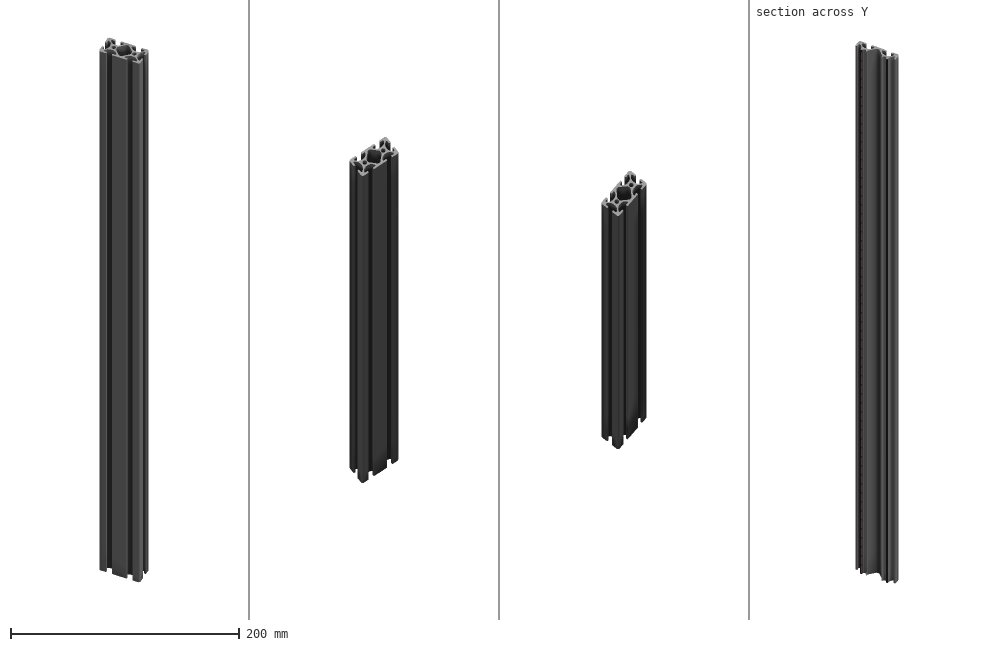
import cadquery as cq
WIDTH = 39.98
DEPTH = 19.99
LENGTH = 609.6
CORNER_RADIUS = 1.93

CELL = WIDTH / 2

SLOT_OPENING = 5.26
LIP_THICKNESS = 1.81
LIP_EDGE_RADIUS = 0.65
CAVITY_WIDTH = 11.72
CAVITY_FLOOR_WIDTH = 7.35
SLOT_DEPTH = 5.5
WALL_STRAIGHT_DEPTH = SLOT_DEPTH - (CAVITY_WIDTH - CAVITY_FLOOR_WIDTH) / 2

FLOOR_GROOVE_DEPTH = 0.77
FLOOR_GROOVE_FLAT = 2.62

BORE_DIAMETER = 3.97
CHANNEL_HALF_HEIGHT = 7.72
CHANNEL_HALF_WIDTH = 7.34
CHANNEL_TIP_WIDTH = 2.27


def make_bar():
    bar = cq.Workplane("XY").rect(WIDTH, DEPTH).extrude(LENGTH)
    return bar.edges("|Z").fillet(CORNER_RADIUS)


def make_slot(x, y, angle):
    """Cutter for a T-slot whose opening is centred at (x, y); at angle 0 it opens toward +Y."""
    half_opening = SLOT_OPENING / 2
    half_mouth = half_opening + LIP_EDGE_RADIUS
    half_cavity = CAVITY_WIDTH / 2
    half_floor = CAVITY_FLOOR_WIDTH / 2
    half_groove = FLOOR_GROOVE_FLAT / 2
    groove_bottom = -SLOT_DEPTH - FLOOR_GROOVE_DEPTH
    cutter = (
        cq.Workplane("XY")
        .moveTo(half_mouth, 0)
        .radiusArc((half_opening, -LIP_EDGE_RADIUS), -LIP_EDGE_RADIUS)
        .lineTo(half_opening, -LIP_THICKNESS)
        .lineTo(half_cavity, -LIP_THICKNESS)
        .lineTo(half_cavity, -WALL_STRAIGHT_DEPTH)
        .lineTo(half_floor, -SLOT_DEPTH)
        .lineTo(half_groove, groove_bottom)
        .lineTo(-half_groove, groove_bottom)
        .lineTo(-half_floor, -SLOT_DEPTH)
        .lineTo(-half_cavity, -WALL_STRAIGHT_DEPTH)
        .lineTo(-half_cavity, -LIP_THICKNESS)
        .lineTo(-half_opening, -LIP_THICKNESS)
        .lineTo(-half_opening, -LIP_EDGE_RADIUS)
        .radiusArc((-half_mouth, 0), -LIP_EDGE_RADIUS)
        .close()
        .extrude(LENGTH)
    )
    return cutter.rotate((0, 0, 0), (0, 0, 1), angle).translate((x, y, 0))


def cut_slots(bar):
    for side in (-1, 1):
        bar = bar.cut(make_slot(side * WIDTH / 2, 0, -90 * side))
        bar = bar.cut(make_slot(side * CELL / 2, DEPTH / 2, 0))
        bar = bar.cut(make_slot(side * CELL / 2, -DEPTH / 2, 180))
    return bar


def cut_bores(bar):
    bores = cq.Workplane("XY").pushPoints([(-CELL / 2, 0), (CELL / 2, 0)])
    return bar.cut(bores.circle(BORE_DIAMETER / 2).extrude(LENGTH))


def cut_channel(bar):
    half_tip = CHANNEL_TIP_WIDTH / 2
    side_half = half_tip + CHANNEL_HALF_HEIGHT - CHANNEL_HALF_WIDTH
    outline = [
        (half_tip, CHANNEL_HALF_HEIGHT),
        (CHANNEL_HALF_WIDTH, side_half),
        (CHANNEL_HALF_WIDTH, -side_half),
        (half_tip, -CHANNEL_HALF_HEIGHT),
        (-half_tip, -CHANNEL_HALF_HEIGHT),
        (-CHANNEL_HALF_WIDTH, -side_half),
        (-CHANNEL_HALF_WIDTH, side_half),
        (-half_tip, CHANNEL_HALF_HEIGHT),
    ]
    return bar.cut(cq.Workplane("XY").polyline(outline).close().extrude(LENGTH))


result = cut_channel(cut_bores(cut_slots(make_bar())))